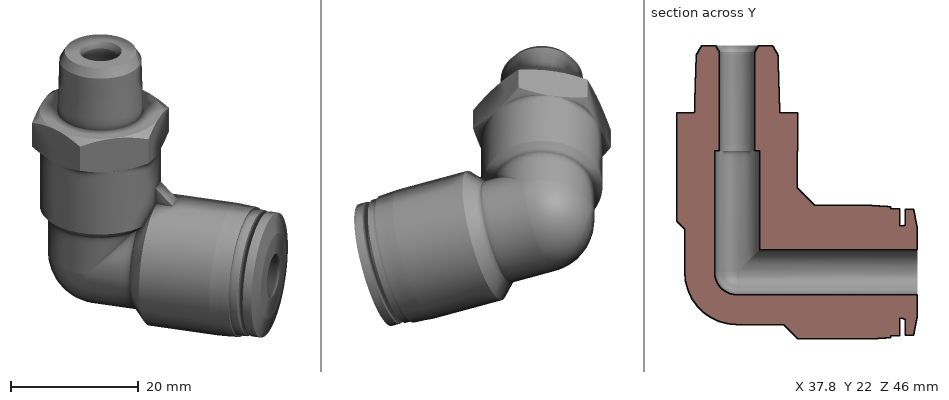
import cadquery as cq
import math


elbow_dia = 16.5
passage_dia = 7.0

sleeve_dia = 19.0
sleeve_bottom = 8.0
hex_across_corners = 22.0
hex_bottom = 19.0
hex_height = 6.0
hex_chamfer_angle = 30.0
thread_length = 10.5
thread_base_dia = 13.46
thread_taper = 1 / 16
thread_tip_chamfer = 1.45
thread_tip_dia = 11.2
bore_dia = 5.49
bore_mouth_dia = 6.65
bore_mouth_depth = 1.0

body_dia = 21.0
body_start = 9.5
body_taper_start = 21.05
body_end = 24.1
body_end_dia = 20.6
ring_dia = 20.0
ring_end = 25.5
ring_chamfer = 0.1
neck_dia = 14.6
neck_flare_start = 26.0
neck_flare_dia = 14.9
collar_start = 26.3
collar_dia = 19.8
collar_rim_end = 27.7
collar_face_dia = 13.6
collar_face = 28.3

gusset_width = 2.5
gusset_size = 2.7

hex_top = hex_bottom + hex_height
thread_top = hex_top + thread_length


def revolve_about_z(outline):
    """Revolve a list of (radius, height) points about the stud axis."""
    return cq.Workplane("XZ").polyline(outline).close().revolve(360, (0, 0, 0), (0, 1, 0))


def revolve_about_x(outline):
    """Revolve a list of (position, radius) points about the tube axis."""
    return cq.Workplane("XZ").polyline(outline).close().revolve(360, (0, 0, 0), (1, 0, 0))


def make_round_elbow(diameter, tube_reach, stud_reach):
    """Two mitred cylinders along +X and +Z with a ball at the outer corner."""
    radius = diameter / 2
    tube_leg = cq.Workplane("YZ").circle(radius).extrude(tube_reach)
    stud_leg = cq.Workplane("XY").circle(radius).extrude(stud_reach)
    corner = cq.Workplane("XY").sphere(radius)
    return tube_leg.union(stud_leg).union(corner)


def make_sleeve():
    radius = sleeve_dia / 2
    elbow_radius = elbow_dia / 2
    chamfer_bottom = sleeve_bottom - (radius - elbow_radius)
    return revolve_about_z([
        (0, chamfer_bottom),
        (elbow_radius, chamfer_bottom),
        (radius, sleeve_bottom),
        (radius, hex_bottom),
        (0, hex_bottom),
    ])


def make_hexagon():
    """Hexagon with flats facing +X and -X, its corners turned off at both ends."""
    prism = (
        cq.Workplane("XY", origin=(0, 0, hex_bottom))
        .transformed(rotate=(0, 0, 90))
        .polygon(6, hex_across_corners)
        .extrude(hex_height)
    )
    end_radius = sleeve_dia / 2
    corner_radius = hex_across_corners / 2
    chamfer_height = (corner_radius - end_radius) * math.tan(math.radians(hex_chamfer_angle))
    turned_blank = revolve_about_z([
        (0, hex_bottom),
        (end_radius, hex_bottom),
        (corner_radius, hex_bottom + chamfer_height),
        (corner_radius, hex_top - chamfer_height),
        (end_radius, hex_top),
        (0, hex_top),
    ])
    return prism.intersect(turned_blank)


def make_thread():
    """Plain tapered envelope of the thread with a chamfered tip."""
    chamfer_start = thread_top - thread_tip_chamfer
    chamfer_start_dia = thread_base_dia - thread_taper * (chamfer_start - hex_top)
    return revolve_about_z([
        (0, hex_top),
        (thread_base_dia / 2, hex_top),
        (chamfer_start_dia / 2, chamfer_start),
        (thread_tip_dia / 2, thread_top),
        (0, thread_top),
    ])


def make_tube_socket():
    elbow_radius = elbow_dia / 2
    body_radius = body_dia / 2
    ring_radius = ring_dia / 2
    shoulder_start = body_start - (body_radius - elbow_radius)
    return revolve_about_x([
        (shoulder_start, 0),
        (shoulder_start, elbow_radius),
        (body_start, body_radius),
        (body_taper_start, body_radius),
        (body_end, body_end_dia / 2),
        (body_end, ring_radius),
        (ring_end - ring_chamfer, ring_radius),
        (ring_end, ring_radius - ring_chamfer),
        (ring_end, neck_dia / 2),
        (neck_flare_start, neck_dia / 2),
        (collar_start, neck_flare_dia / 2),
        (collar_start, collar_dia / 2),
        (collar_rim_end, collar_dia / 2),
        (collar_face, collar_face_dia / 2),
        (collar_face, 0),
    ])


def make_gusset():
    """Triangular web in the inner corner, rooted inside the sleeve and the body."""
    corner_x = sleeve_dia / 2
    corner_z = body_dia / 2
    root = elbow_dia / 2
    return (
        cq.Workplane("XZ")
        .moveTo(root, root)
        .lineTo(corner_x + gusset_size + corner_z - root, root)
        .lineTo(root, corner_z + gusset_size + corner_x - root)
        .close()
        .extrude(gusset_width / 2, both=True)
    )


def make_passage():
    """Flow passage from the collar face round the elbow, and up the stud through a narrower bore."""
    elbow_passage = make_round_elbow(passage_dia, collar_face, hex_bottom)
    stud_bore = revolve_about_z([
        (0, 0),
        (bore_dia / 2, 0),
        (bore_dia / 2, thread_top - bore_mouth_depth),
        (bore_mouth_dia / 2, thread_top),
        (0, thread_top),
    ])
    return elbow_passage.union(stud_bore)


elbow = make_round_elbow(elbow_dia, body_start, sleeve_bottom)
solid_fitting = (
    elbow.union(make_sleeve())
    .union(make_hexagon())
    .union(make_thread())
    .union(make_tube_socket())
    .union(make_gusset())
)
result = solid_fitting.cut(make_passage())